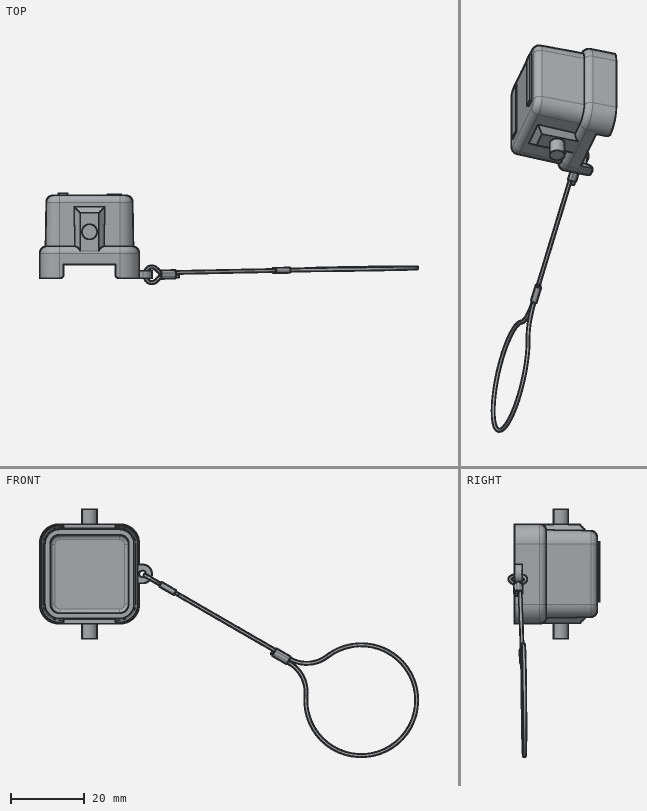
import cadquery as cq
import math


collar_width = 27.0
collar_corner = 5.3
collar_height = 8.7
collar_shoulder = 1.9

body_root_width = 23.9
body_root_y = 8.0
body_corner = 3.8
body_back_y = 22.5
body_draft = 1.0
body_back_fillet = 1.9

rim_width = 26.2
rim_corner = collar_corner - (collar_width - rim_width) / 2
lead_in_width = 25.0
lead_in_y = 1.4
lead_in_corner = rim_corner - (rim_width - lead_in_width) / 2
ledge_width = 24.1
ledge_y = 7.2
chamber_width = 21.3
chamber_corner = 2.6
chamber_floor_fillet = 1.0
back_thickness = 1.3

notch_width = 14.0
notch_depth = 3.7
notch_mouth_radius = 1.0

pin_diameter = 4.1
pin_span = 35.15
pin_y = 12.6
pad_width = 5.0
pad_start_y = 6.9
pad_end_y = 17.7
pad_level = 13.4
pad_depth = 2.3

strip_length = 16.3
strip_centre_z = 0.6
back_strips = [(-7.2, 2.5, 0.6), (6.7, 3.8, 0.3)]

lug_x = 14.37
lug_radius = 2.58
lug_thickness = 2.1
lug_hole_diameter = 1.75

wire_diameter = 0.9
wire_spacing = 1.0
wire_y = 1.4
lanyard_fall = 30.0
lanyard_tilt = 1.0
eye_radius = 2.12
eye_distance = 2.9
ferrule_length = 4.5
ferrule_width = 2.4
ferrule_thickness = 1.5
eye_ferrule_start = 5.6
eye_tail = 1.1
loop_distance = 68.4
loop_radius = 15.02
loop_blend_radius = 9.2
loop_tail = 0.6


def plane_at_y(y):
    return cq.Workplane(cq.Plane(origin=(0, y, 0), xDir=(1, 0, 0), normal=(0, 1, 0)))


def rounded_block(width, corner, y_start, y_end, draft=0.0):
    """Square block along +Y with rounded corners, narrowing by the draft angle."""
    outline = cq.Sketch().rect(width, width).vertices().fillet(corner)
    return plane_at_y(y_start).placeSketch(outline).extrude(y_end - y_start, taper=draft)


def draft_between(start_width, end_width, length):
    return math.degrees(math.atan((start_width - end_width) / 2 / length))


def make_collar():
    collar = rounded_block(collar_width, collar_corner, 0, collar_height)
    return collar.faces(">Y").edges().fillet(collar_shoulder)


def make_body():
    body = rounded_block(body_root_width, body_corner, body_root_y, body_back_y, body_draft)
    return body.faces(">Y").edges().fillet(body_back_fillet)


def make_pad():
    """Raised pad for the upper pin, widening at 45 degrees down into the wall."""
    length = pad_end_y - pad_start_y
    growth = 2 * pad_depth
    return (
        cq.Workplane("XY", origin=(0, (pad_start_y + pad_end_y) / 2, pad_level))
        .rect(pad_width, length)
        .workplane(offset=-pad_depth)
        .rect(pad_width + growth, length + growth)
        .loft()
    )


def make_pin():
    """Upper pin, rooted in its pad."""
    root_z = pad_level - pad_depth
    return (
        cq.Workplane("XY", origin=(0, pin_y, root_z))
        .circle(pin_diameter / 2)
        .extrude(pin_span / 2 - root_z)
    )


def make_hollow():
    """Flared lead-in, drafted mouth down to the ledge, and the chamber behind it."""
    lead_in_draft = draft_between(rim_width, lead_in_width, lead_in_y)
    lead_in = rounded_block(rim_width, rim_corner, 0, lead_in_y, lead_in_draft)
    mouth_draft = draft_between(lead_in_width, ledge_width, ledge_y - lead_in_y)
    mouth = rounded_block(lead_in_width, lead_in_corner, lead_in_y, ledge_y, mouth_draft)
    chamber = rounded_block(
        chamber_width, chamber_corner, ledge_y, body_back_y - back_thickness, body_draft
    )
    chamber = chamber.faces(">Y").edges().fillet(chamber_floor_fillet)
    return lead_in.union(mouth).union(chamber)


def make_notches():
    """Cutter through both Z sides of the rim, flared by a radius at the open face."""
    half = notch_width / 2
    flared_half = half + notch_mouth_radius
    arc_inset = notch_mouth_radius * (1 - math.sqrt(0.5))
    return (
        cq.Workplane("XY")
        .moveTo(-flared_half, 0)
        .threePointArc((-half - arc_inset, arc_inset), (-half, notch_mouth_radius))
        .lineTo(-half, notch_depth)
        .lineTo(half, notch_depth)
        .lineTo(half, notch_mouth_radius)
        .threePointArc((half + arc_inset, arc_inset), (flared_half, 0))
        .close()
        .extrude(collar_width, both=True)
    )


def make_strip(x, width, height):
    """Raised strip on the back, rooted in the back wall."""
    root_y = body_back_y - back_thickness / 2
    return (
        plane_at_y(root_y)
        .center(x, -strip_centre_z)
        .rect(width, strip_length)
        .extrude(body_back_y + height - root_y)
    )


def make_lug():
    """Half-round lug on the +X side, reaching into the collar wall."""
    wall_x = (collar_width + rim_width) / 4
    lug = (
        plane_at_y(0)
        .moveTo(wall_x, lug_radius)
        .lineTo(lug_x, lug_radius)
        .threePointArc((lug_x + lug_radius, 0), (lug_x, -lug_radius))
        .lineTo(wall_x, -lug_radius)
        .close()
        .extrude(lug_thickness)
    )
    hole = plane_at_y(0).center(lug_x, 0).circle(lug_hole_diameter / 2).extrude(lug_thickness)
    return lug.cut(hole)


def make_cover():
    cover = make_collar().union(make_body())
    for feature in (make_pad(), make_pin()):
        cover = cover.union(feature).union(feature.mirror("XY"))
    for x, width, height in back_strips:
        cover = cover.union(make_strip(x, width, height))
    return cover.cut(make_hollow()).cut(make_notches()).union(make_lug())


def lanyard_plane():
    fall = math.radians(lanyard_fall)
    tilt = math.radians(lanyard_tilt)
    along = cq.Vector(
        math.cos(fall) * math.cos(tilt), math.sin(tilt), -math.sin(fall) * math.cos(tilt)
    )
    across = cq.Vector(math.sin(fall), 0, math.cos(fall))
    return cq.Plane(origin=(lug_x, wire_y, 0), xDir=along, normal=along.cross(across))


def straight_wire(x_start, x_end, y, z):
    return (
        cq.Workplane("YZ", origin=(x_start, y, z))
        .circle(wire_diameter / 2)
        .extrude(x_end - x_start)
    )


def sweep_wire(path, start, direction):
    section = cq.Workplane(cq.Plane(origin=start, normal=direction)).circle(wire_diameter / 2)
    return section.sweep(path)


def make_ferrule(x_start, y, z, wire_row_angle):
    """Crimp sleeve around two parallel wires, whose row is turned about x by the given angle."""
    return (
        cq.Workplane("YZ", origin=(x_start, y, z))
        .slot2D(ferrule_width, ferrule_thickness, wire_row_angle)
        .extrude(ferrule_length)
    )


def make_eye():
    """Teardrop eye through the lug hole, with its ferrule and the free wire end."""
    half_gap = wire_spacing / 2
    reach = eye_ferrule_start - eye_distance
    leg_angle = math.atan2(half_gap, reach) + math.acos(eye_radius / math.hypot(reach, half_gap))
    touch_x = eye_distance + eye_radius * math.cos(leg_angle)
    touch_z = eye_radius * math.sin(leg_angle)
    eye_plane = cq.Workplane(
        cq.Plane(origin=(0, 0, half_gap), xDir=(1, 0, 0), normal=(0, -1, 0))
    )
    path = (
        eye_plane.moveTo(eye_ferrule_start, half_gap)
        .lineTo(touch_x, touch_z)
        .threePointArc((eye_distance - eye_radius, 0), (touch_x, -touch_z))
        .lineTo(eye_ferrule_start, -half_gap)
    )
    start = (eye_ferrule_start, 0, wire_spacing)
    direction = (touch_x - eye_ferrule_start, 0, touch_z - half_gap)
    eye = sweep_wire(path, start, direction)
    ferrule = make_ferrule(eye_ferrule_start, 0, half_gap, 90)
    tail_end = eye_ferrule_start + ferrule_length + eye_tail
    free_end = straight_wire(eye_ferrule_start, tail_end, 0, wire_spacing)
    return eye.union(ferrule).union(free_end)


def make_loop():
    """Long wire ending in the big loop, which runs back into a ferrule."""
    centre_span = loop_radius + loop_blend_radius
    loop_centre = cq.Vector(loop_distance, 0)

    def blend(wire_offset, side):
        """Start, middle and end points of the arc between a wire and the loop."""
        height = loop_blend_radius + wire_offset
        start_x = loop_distance - math.sqrt(centre_span**2 - height**2)
        start = cq.Vector(start_x, side * wire_offset)
        centre = cq.Vector(start_x, side * height)
        end = centre + (loop_centre - centre) * (loop_blend_radius / centre_span)
        towards_middle = ((start + end) * 0.5 - centre).normalized()
        return start, centre + towards_middle * loop_blend_radius, end

    upper_start, upper_middle, upper_end = blend(0, 1)
    lower_start, lower_middle, lower_end = blend(wire_spacing, -1)
    ferrule_start = upper_start.x - ferrule_length
    path = (
        cq.Workplane("XY")
        .moveTo(eye_ferrule_start, 0)
        .lineTo(upper_start.x, 0)
        .threePointArc(upper_middle.toTuple()[:2], upper_end.toTuple()[:2])
        .threePointArc((loop_distance + loop_radius, 0), lower_end.toTuple()[:2])
        .threePointArc(lower_middle.toTuple()[:2], lower_start.toTuple()[:2])
        .lineTo(ferrule_start - loop_tail, -wire_spacing)
    )
    wire = sweep_wire(path, (eye_ferrule_start, 0, 0), (1, 0, 0))
    ferrule = make_ferrule(ferrule_start, -wire_spacing / 2, 0, 0)
    return wire.union(ferrule)


def make_lanyard():
    lanyard = make_eye().union(make_loop()).val()
    return cq.Workplane(lanyard.moved(cq.Location(lanyard_plane())))


result = make_cover().union(make_lanyard())